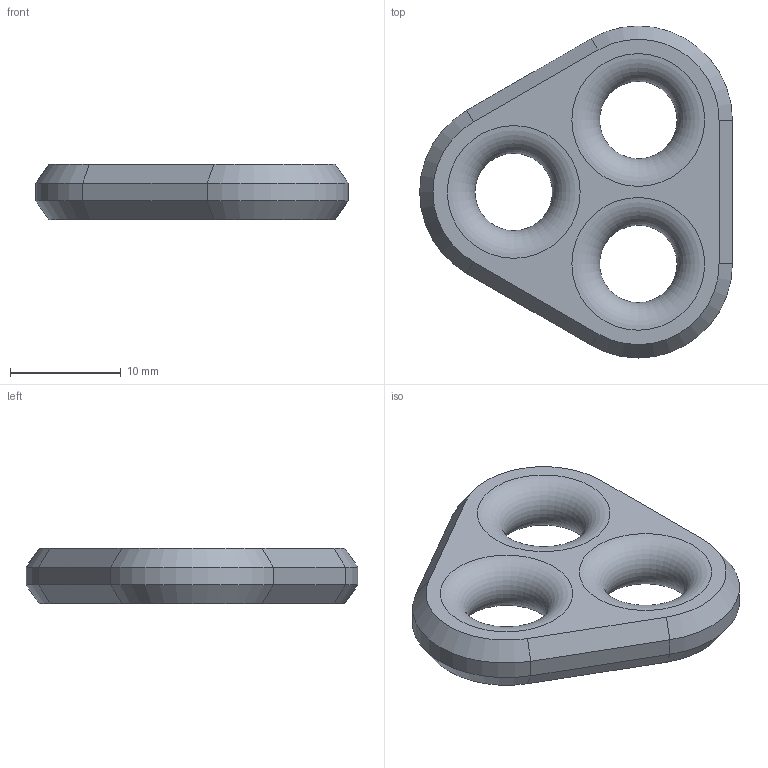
import cadquery as cq
import math

thickness = 5.0
hole_count = 3
hole_spacing = 13.0
hole_diameter = 7.0
corner_radius = 8.5
chamfer_inset = 1.2
chamfer_height = 1.7

hole_radius = hole_diameter / 2
mid_height = thickness / 2
lip_radius = mid_height
mouth_radius = hole_radius + lip_radius
centre_distance = hole_spacing / (2 * math.sin(math.pi / hole_count))

hole_angles = [math.pi + i * 2 * math.pi / hole_count for i in range(hole_count)]
hole_centres = [(centre_distance * math.cos(a), centre_distance * math.sin(a)) for a in hole_angles]


def make_plate():
    """Rounded triangular plate with both outer rims chamfered."""
    return (
        cq.Workplane("XY")
        .polyline(hole_centres)
        .close()
        .offset2D(corner_radius, "arc")
        .extrude(thickness)
        .faces("<Z or >Z")
        .edges()
        .chamfer(chamfer_height, chamfer_inset)
    )


def make_hole_cutter():
    """Hourglass-shaped cutter on the Z axis, its wall made of two quarter-round lips."""
    return (
        cq.Workplane("XZ")
        .lineTo(mouth_radius, 0)
        .radiusArc((hole_radius, mid_height), lip_radius)
        .radiusArc((mouth_radius, thickness), lip_radius)
        .lineTo(0, thickness)
        .close()
        .revolve(360, (0, 0, 0), (0, 1, 0))
    )


result = make_plate()
hole_cutter = make_hole_cutter()
for x, y in hole_centres:
    result = result.cut(hole_cutter.translate((x, y, 0)))